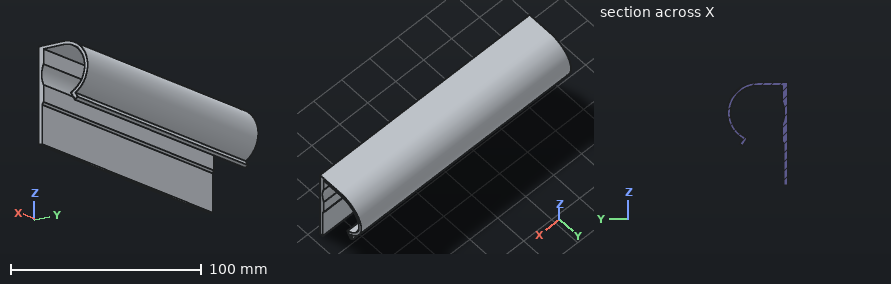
import cadquery as cq
import math

length = 150
depth = 32.0
height = 54
plate_wall = 2.2
hook_wall = 2.0
lip_wall = 2.2
pad_thickness = 3.2
pad_bottom_drop = 31.0
pad_taper_height = 1.4
lip_length = 3.0
lip_angle = math.radians(30)

outer_radius = depth / 2
inner_radius = outer_radius - hook_wall
half_length = length / 2
plate_front = -depth / 2
plate_back = plate_front + plate_wall
pad_back = plate_front + pad_thickness
top = height / 2
bottom = -height / 2
center_y = 0
center_z = top - outer_radius

groove_half_height = math.sqrt(inner_radius**2 - (center_y - pad_back)**2)
pad_bottom = top - pad_bottom_drop


def hook_point(radial, inward=0):
    """Point at a distance along the lip direction, shifted sideways toward the plate."""
    y = center_y + radial * math.sin(lip_angle) - inward * math.cos(lip_angle)
    z = center_z - radial * math.cos(lip_angle) - inward * math.sin(lip_angle)
    return y, z


def arc_middle(radius):
    """Point halfway along the hook arc between its top and the lip."""
    angle = (math.pi - lip_angle) / 2
    return center_y + radius * math.sin(angle), center_z + radius * math.cos(angle)


lip_tip = outer_radius + lip_length

profile = (
    cq.Workplane("YZ", origin=(-half_length, 0, 0))
    .moveTo(plate_front, bottom)
    .lineTo(plate_front, top)
    .lineTo(center_y, top)
    .threePointArc(arc_middle(outer_radius), hook_point(outer_radius))
    .lineTo(*hook_point(lip_tip))
    .lineTo(*hook_point(lip_tip, lip_wall))
    .lineTo(*hook_point(inner_radius, lip_wall))
    .lineTo(*hook_point(inner_radius))
    .threePointArc(arc_middle(inner_radius), (center_y, center_z + inner_radius))
    .lineTo(pad_back, center_z + inner_radius)
    .lineTo(pad_back, center_z + groove_half_height)
    .threePointArc(
        (center_y - inner_radius, center_z),
        (pad_back, center_z - groove_half_height),
    )
    .lineTo(pad_back, pad_bottom)
    .lineTo(plate_back, pad_bottom - pad_taper_height)
    .lineTo(plate_back, bottom)
    .close()
)

result = profile.extrude(length)